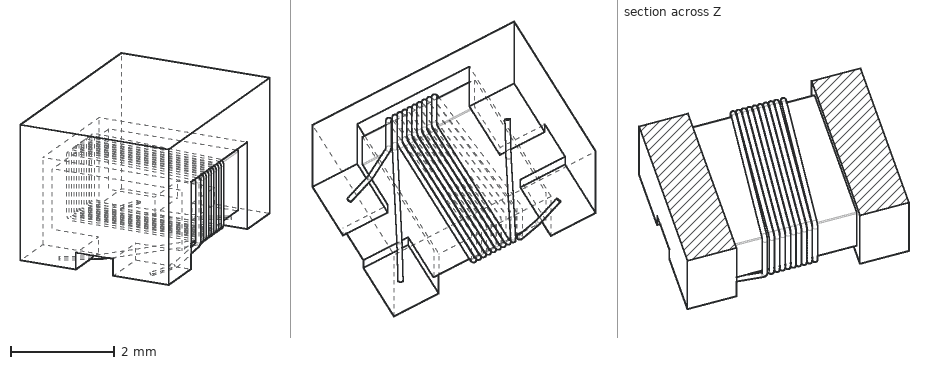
import cadquery as cq
import math

LENGTH_X = 3.2
LENGTH_Y = 4.5
HEIGHT = 2.8
WINDOW_Y = 2.5
WINDOW_TOP = 1.8
SLOT_X = 0.8

CORE_X = 2.8
CORE_BOTTOM = 0.35
CORE_TOP = 1.6
CORE_EDGE_RADIUS = 0.02

WIRE_RADIUS = 0.05
WIRE_GAP = 0.005
TURN_PITCH = 0.11
STRANDS_PER_SIDE = 10
OUTER_STRAND_Y = 0.635

NEAR_LEAD_BEND = (-1.22, 1.18)
NEAR_LEAD_TIP = (-1.0, 1.77)
CROSSING_LEAD_BEND = (-0.27, -1.37)
CROSSING_LEAD_TIP = (-1.0, -1.76)

AXIS_OFFSET = WIRE_RADIUS + WIRE_GAP
AXIS_X = CORE_X / 2 + AXIS_OFFSET
AXIS_TOP = CORE_TOP + AXIS_OFFSET
AXIS_BOTTOM = CORE_BOTTOM - AXIS_OFFSET
BEND_RADIUS = CORE_EDGE_RADIUS + AXIS_OFFSET


def make_yoke():
    block = cq.Workplane("XY").box(LENGTH_X, LENGTH_Y, HEIGHT, centered=(True, True, False))
    window = cq.Workplane("XY").box(LENGTH_X, WINDOW_Y, WINDOW_TOP, centered=(True, True, False))
    slot = cq.Workplane("XY").box(SLOT_X, LENGTH_Y, CORE_BOTTOM, centered=(True, True, False))
    return block.cut(window).cut(slot)


def make_core():
    core_height = CORE_TOP - CORE_BOTTOM
    core = cq.Workplane("XY").box(CORE_X, WINDOW_Y, core_height, centered=(True, True, False))
    core = core.edges("|Y").fillet(CORE_EDGE_RADIUS)
    return core.translate((0, 0, CORE_BOTTOM))


def left_strand_y(index):
    """Y of an upright strand on the -X side, counted from the +Y end."""
    if index == 0:
        return OUTER_STRAND_Y
    middle_index = STRANDS_PER_SIDE / 2 + 0.5
    return (middle_index - index) * TURN_PITCH


def right_strand_y(index):
    """Y of the matching +X strand; the sides map onto each other by a half turn about Z."""
    return -left_strand_y(STRANDS_PER_SIDE - 1 - index)


def coil_corners():
    """Sharp corners of one coil's axis, from terminal tip to terminal tip."""
    corners = [(*NEAR_LEAD_TIP, 0), (*NEAR_LEAD_BEND, 0)]
    for index in range(0, STRANDS_PER_SIDE, 2):
        left_y = left_strand_y(index)
        right_y = right_strand_y(index)
        corners.append((-AXIS_X, left_y, AXIS_BOTTOM))
        corners.append((-AXIS_X, left_y, AXIS_TOP))
        corners.append((AXIS_X, right_y, AXIS_TOP))
        corners.append((AXIS_X, right_y, AXIS_BOTTOM))
    corners += [(*CROSSING_LEAD_BEND, 0), (*CROSSING_LEAD_TIP, 0)]
    return [cq.Vector(*corner) for corner in corners]


def rounded_path(corners, radius):
    """Polyline through the corners with every inner corner replaced by an arc."""
    edges = []
    start = corners[0]
    for before, corner, after in zip(corners, corners[1:], corners[2:]):
        back = (before - corner).normalized()
        ahead = (after - corner).normalized()
        half_angle = back.getAngle(ahead) / 2
        trim = radius / math.tan(half_angle)
        corner_to_arc = radius / math.sin(half_angle) - radius
        arc_start = corner + back * trim
        arc_middle = corner + (back + ahead).normalized() * corner_to_arc
        arc_end = corner + ahead * trim
        edges.append(cq.Edge.makeLine(start, arc_start))
        edges.append(cq.Edge.makeThreePointArc(arc_start, arc_middle, arc_end))
        start = arc_end
    edges.append(cq.Edge.makeLine(start, corners[-1]))
    return cq.Wire.assembleEdges(edges)


def make_coil():
    corners = coil_corners()
    path = rounded_path(corners, BEND_RADIUS)
    end_plane = cq.Plane(origin=corners[0], normal=corners[1] - corners[0])
    return cq.Workplane(end_plane).circle(WIRE_RADIUS).sweep(path)


coil = make_coil()
opposite_coil = coil.rotate((0, 0, 0), (0, 0, 1), 180)
result = make_yoke().union(make_core()).union(coil).union(opposite_coil)